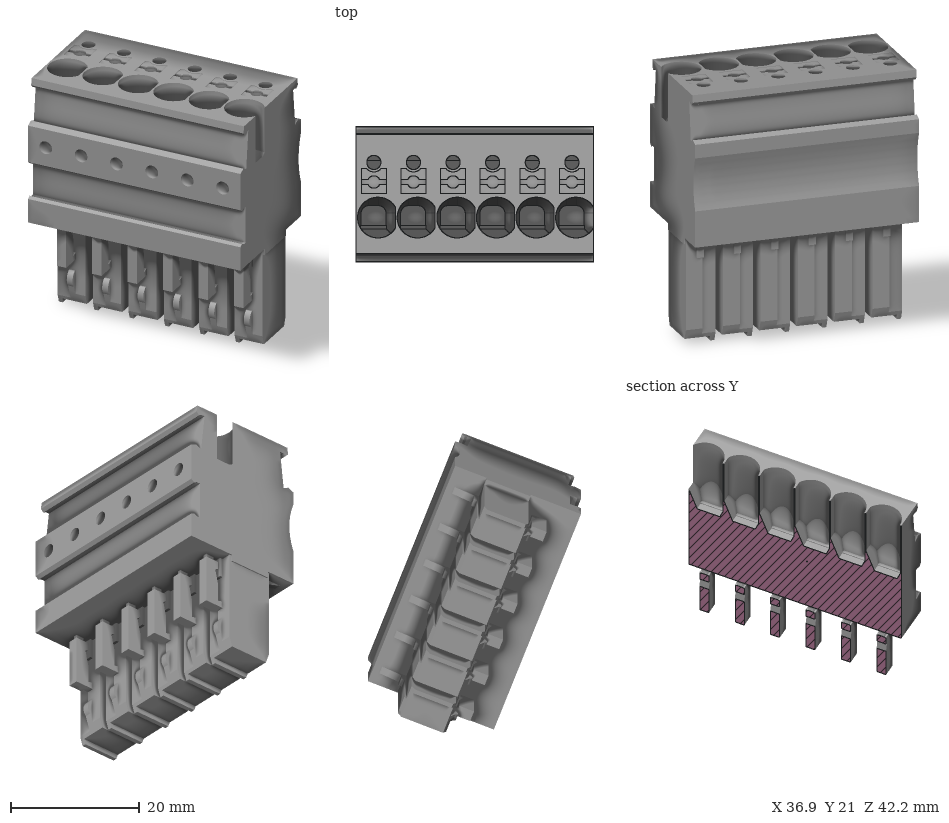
import cadquery as cq
import math


LENGTH = 36.9
DEPTH = 21.0
HEIGHT = 42.15
POLES = 6
PITCH = LENGTH / POLES

BASE_Z = 17.6
TOP_INSET = 1.25
LIP_INSET = 1.1
LIP_EDGE_Z = 41.0
LIP_HOOK_INSET = 1.6
LIP_HOOK_WIDTH = 0.42
LIP_HOOK_Z = 40.5
WAIST_TOP_INSET = 2.75
WAIST_TOP_Z = 40.78
WAIST_BASE_INSET = 2.02
WAIST_BASE_Z = 34.4
SHOULDER_Z = 34.45
SHOULDER_PEAK_INSET = 1.05
SHOULDER_PEAK_Z = 34.87
CHANNEL_DEPTH = 1.8
CHANNEL_TOP_Z = 27.95
CHANNEL_BASE_Z = 21.68
CHANNEL_EDGE_INSET = 0.6
CHANNEL_HOOK = 0.3
GRIP_TOP_Z = 32.2
GRIP_BASE_Z = 23.55
GRIP_DEPTH = 0.85

SKIRT_FRONT_Y = 8.4
SKIRT_BACK_Y = 15.77
SKIRT_BASE_Z = 16.5

TEST_HOLE_Z = 31.3
TEST_HOLE_RADIUS = 1.1
TEST_HOLE_DEPTH = 2.55

WIRE_X = 3.4
WIRE_Y = 6.87
WIRE_RADIUS = 3.15
WIRE_BORE_DEPTH = 5.9
WIRE_DEPTH = 11.8
FUNNEL_TAPER = 22.0
THROAT_LEFT_X = 0.8
THROAT_RIGHT_X = 4.7
THROAT_FRONT_Y = 5.15
THROAT_BACK_Y = 8.75
THROAT_RADIUS = 1.2
LEDGE_WIDTH = 0.45
LEDGE_HEIGHT = 0.13

BUTTON_X = 2.8
PROBE_Y = 15.45
PROBE_RADIUS = 1.1
PROBE_DEPTH = 5.05
PROBE_RAMP_Y = 15.75
PROBE_RAMP_RISE = 2.55
BUTTON_WIDTH = 3.9
BUTTON_FRONT_Y = 10.63
BUTTON_BACK_Y = 14.45
BUTTON_RECESS = 0.1
PROBE_COLLAR_RADIUS = 1.48
SLOT_Y = 12.4
SLOT_WIDTH = 0.8
SLOT_EYE_RADIUS = 0.95
SLOT_DEPTH = 0.42

BLADE_LEFT_X = 0.93
BLADE_STEP_X = 3.15
BLADE_RIGHT_X = 5.95
BLADE_FRONT_Y = 8.05
BLADE_BACK_Y = 16.1
BLADE_BASE_Z = 0.85
FOOT_WIDTH = 0.67
TIP_FRONT_Y = 8.85
TIP_BACK_Y = 15.22
TIP_BEVEL_Z = 2.45

WEB_RIGHT_X = 4.3
WEB_FRONT_Y = 7.55
WEB_BACK_Y = 16.6
WEB_BASE_Z = 14.25
WEB_SLOPE_Y = 19.8
WEB_SLOPE_Z = 16.6

NOSE_RIGHT_X = 4.17
NOSE_TOP_Y = 7.9
NOSE_TOP_Z = 6.5
NOSE_TIP_Y = 7.13
NOSE_TIP_Z = 4.95
NOSE_END_Y = 7.6
NOSE_END_Z = 3.9
NOSE_BASE_Z = 2.8

LEVER_LEFT_X = 2.65
LEVER_RIGHT_X = 4.3
LEVER_FRONT_Y = 4.7
LEVER_BACK_Y = 7.13
LEVER_BASE_Z = 8.5
LEVER_TOP_Z = 16.6
NOTCH_DEPTH = 0.6
NOTCH_TOP_Z = 15.35
NOTCH_FLOOR_Z = 14.95
NOTCH_BASE_Z = 12.45
ARM_TOP_Z = 9.7
ARM_DROP = 0.2
NECK_RIGHT_X = 3.75
NECK_FRONT_Y = 5.15
NECK_BACK_Y = 6.6
NECK_FLARE = 0.25
NECK_FLARE_HEIGHT = 0.45


def box(x0, x1, y0, y1, z0, z1):
    return cq.Workplane("XY").box(x1 - x0, y1 - y0, z1 - z0, centered=False).translate((x0, y0, z0))


def prism(points, x0, x1):
    """Extrude a closed (y, z) outline from x0 to x1."""
    return cq.Workplane("YZ").polyline(points).close().extrude(x1 - x0).translate((x0, 0, 0))


def top_cylinder(x, y, radius, depth):
    """Cylinder reaching down from the top face."""
    return cq.Workplane("XY", origin=(x, y, HEIGHT)).circle(radius).extrude(-depth)


def at_each_pole(shape):
    """Copies of a one-pole shape along the row."""
    poles = cq.Workplane("XY")
    for pole in range(POLES):
        poles = poles.add(shape.translate((pole * PITCH, 0, 0)))
    return poles.combine()


def make_housing():
    upper = [
        (0, SHOULDER_Z),
        (SHOULDER_PEAK_INSET, SHOULDER_PEAK_Z),
        (WAIST_BASE_INSET, WAIST_BASE_Z),
        (WAIST_TOP_INSET, WAIST_TOP_Z),
        (LIP_HOOK_INSET + LIP_HOOK_WIDTH, WAIST_TOP_Z),
        (LIP_HOOK_INSET, LIP_HOOK_Z),
        (LIP_INSET, LIP_EDGE_Z),
        (TOP_INSET, HEIGHT),
    ]
    channel = [
        (0, BASE_Z),
        (0, CHANNEL_BASE_Z),
        (CHANNEL_EDGE_INSET, CHANNEL_BASE_Z + CHANNEL_HOOK),
        (2 * CHANNEL_EDGE_INSET, CHANNEL_BASE_Z),
        (CHANNEL_DEPTH, CHANNEL_BASE_Z),
        (CHANNEL_DEPTH, CHANNEL_TOP_Z),
        (2 * CHANNEL_EDGE_INSET, CHANNEL_TOP_Z),
        (CHANNEL_EDGE_INSET, CHANNEL_TOP_Z - CHANNEL_HOOK),
        (0, CHANNEL_TOP_Z + CHANNEL_HOOK / 2),
    ]
    front = channel + upper
    back = [(DEPTH - inset, z) for inset, z in reversed(upper)]
    grip_middle = (DEPTH - GRIP_DEPTH, (GRIP_TOP_Z + GRIP_BASE_Z) / 2)
    return (
        cq.Workplane("YZ")
        .polyline(front + back)
        .lineTo(DEPTH, GRIP_TOP_Z)
        .threePointArc(grip_middle, (DEPTH, GRIP_BASE_Z))
        .lineTo(DEPTH, BASE_Z)
        .close()
        .extrude(LENGTH)
    )


def funnel_section(offset, z):
    """Throat outline grown by an offset: two sharp front corners, two rounded back ones."""
    left = THROAT_LEFT_X - offset
    right = THROAT_RIGHT_X + offset
    front = THROAT_FRONT_Y - offset
    back = THROAT_BACK_Y + offset
    radius = THROAT_RADIUS + offset
    arc_inset = radius * (1 - math.sqrt(0.5))
    return (
        cq.Workplane("XY", origin=(0, 0, z))
        .moveTo(left, front)
        .lineTo(right, front)
        .lineTo(right, back - radius)
        .threePointArc((right - arc_inset, back - arc_inset), (right - radius, back))
        .lineTo(left + radius, back)
        .threePointArc((left + arc_inset, back - arc_inset), (left, back - radius))
        .close()
        .wires()
        .val()
    )


def make_wire_entry():
    """Round bore above a tapered funnel, cut off at the right edge of the pole."""
    floor_z = HEIGHT - WIRE_DEPTH
    flare = WIRE_DEPTH * math.tan(math.radians(FUNNEL_TAPER))
    sections = [funnel_section(0, floor_z), funnel_section(flare, HEIGHT)]
    funnel = cq.Workplane(cq.Solid.makeLoft(sections, True))
    funnel = funnel.intersect(top_cylinder(WIRE_X, WIRE_Y, WIRE_RADIUS, WIRE_DEPTH))
    ledge_y = THROAT_FRONT_Y + LEDGE_WIDTH
    ledge = box(0, PITCH, 0, ledge_y, floor_z, floor_z + LEDGE_HEIGHT)
    entry = top_cylinder(WIRE_X, WIRE_Y, WIRE_RADIUS, WIRE_BORE_DEPTH).union(funnel).cut(ledge)
    return entry.intersect(box(0, PITCH, 0, DEPTH, floor_z, HEIGHT))


def make_probe_hole():
    """Blind hole whose floor climbs towards the front."""
    floor_z = HEIGHT - PROBE_DEPTH
    front_y = PROBE_Y - PROBE_RADIUS
    ramp = prism(
        [(PROBE_RAMP_Y, floor_z), (front_y, floor_z + PROBE_RAMP_RISE), (front_y, floor_z)],
        BUTTON_X - PROBE_RADIUS,
        BUTTON_X + PROBE_RADIUS,
    )
    return top_cylinder(BUTTON_X, PROBE_Y, PROBE_RADIUS, PROBE_DEPTH).cut(ramp)


def make_button():
    """Square release button, clear of the probe hole, with a screwdriver slot."""
    left_x = BUTTON_X - BUTTON_WIDTH / 2
    right_x = BUTTON_X + BUTTON_WIDTH / 2
    face = box(left_x, right_x, BUTTON_FRONT_Y, BUTTON_BACK_Y, HEIGHT - BUTTON_RECESS, HEIGHT)
    face = face.cut(top_cylinder(BUTTON_X, PROBE_Y, PROBE_COLLAR_RADIUS, BUTTON_RECESS))
    slot_front_y = SLOT_Y - SLOT_WIDTH / 2
    slot = box(left_x, right_x, slot_front_y, slot_front_y + SLOT_WIDTH, HEIGHT - SLOT_DEPTH, HEIGHT)
    eye = top_cylinder(BUTTON_X, SLOT_Y, SLOT_EYE_RADIUS, SLOT_DEPTH)
    return face.union(slot).union(eye)


def make_test_hole():
    hole = cq.Workplane("XZ", origin=(PITCH / 2, 0, TEST_HOLE_Z))
    return hole.circle(TEST_HOLE_RADIUS).extrude(-TEST_HOLE_DEPTH)


def make_blade():
    """Bevelled blade, set back on its left side and with a foot at its left edge."""
    outline = [
        (TIP_FRONT_Y, 0),
        (BLADE_FRONT_Y, TIP_BEVEL_Z),
        (BLADE_FRONT_Y, BASE_Z),
        (BLADE_BACK_Y, BASE_Z),
        (BLADE_BACK_Y, TIP_BEVEL_Z),
        (TIP_BACK_Y, 0),
    ]
    blade = prism(outline, BLADE_LEFT_X, BLADE_RIGHT_X)
    front_step = box(BLADE_LEFT_X, BLADE_STEP_X, BLADE_FRONT_Y, SKIRT_FRONT_Y, 0, BASE_Z)
    back_step = box(BLADE_LEFT_X, BLADE_STEP_X, SKIRT_BACK_Y, BLADE_BACK_Y, 0, BASE_Z)
    beside_foot = box(BLADE_LEFT_X + FOOT_WIDTH, BLADE_RIGHT_X, 0, DEPTH, 0, BLADE_BASE_Z)
    return blade.cut(front_step).cut(back_step).cut(beside_foot)


def make_web():
    outline = [
        (WEB_FRONT_Y, BASE_Z),
        (WEB_FRONT_Y, WEB_BASE_Z),
        (WEB_BACK_Y, WEB_BASE_Z),
        (WEB_BACK_Y, WEB_SLOPE_Z),
        (WEB_SLOPE_Y, BASE_Z),
    ]
    return prism(outline, BLADE_STEP_X, WEB_RIGHT_X)


def make_nose():
    base_y = TIP_FRONT_Y - (TIP_FRONT_Y - BLADE_FRONT_Y) * NOSE_BASE_Z / TIP_BEVEL_Z
    nose = (
        cq.Workplane("YZ", origin=(BLADE_STEP_X, 0, 0))
        .moveTo(BLADE_FRONT_Y, NOSE_TOP_Z)
        .lineTo(NOSE_TOP_Y, NOSE_TOP_Z)
        .threePointArc((NOSE_TIP_Y, NOSE_TIP_Z), (NOSE_END_Y, NOSE_END_Z))
        .lineTo(base_y, NOSE_BASE_Z)
        .lineTo(BLADE_FRONT_Y, TIP_BEVEL_Z)
        .close()
    )
    return nose.extrude(NOSE_RIGHT_X - BLADE_STEP_X)


def make_lever():
    """Latch lever hung from a flared neck and tied to the blade by an arm."""
    body = prism(
        [
            (LEVER_FRONT_Y, LEVER_BASE_Z),
            (LEVER_FRONT_Y, LEVER_TOP_Z),
            (LEVER_BACK_Y, LEVER_TOP_Z),
            (LEVER_BACK_Y, NOTCH_TOP_Z),
            (LEVER_BACK_Y - NOTCH_DEPTH, NOTCH_FLOOR_Z),
            (LEVER_BACK_Y, NOTCH_BASE_Z),
            (LEVER_BACK_Y, LEVER_BASE_Z),
        ],
        LEVER_LEFT_X,
        LEVER_RIGHT_X,
    )
    arm = prism(
        [
            (LEVER_BACK_Y, LEVER_BASE_Z),
            (LEVER_BACK_Y, ARM_TOP_Z - ARM_DROP),
            (BLADE_FRONT_Y, ARM_TOP_Z),
            (BLADE_FRONT_Y, LEVER_BASE_Z),
        ],
        BLADE_STEP_X,
        LEVER_RIGHT_X,
    )
    neck = box(BLADE_STEP_X, NECK_RIGHT_X, NECK_FRONT_Y, NECK_BACK_Y, LEVER_TOP_Z, BASE_Z)
    neck_center = ((BLADE_STEP_X + NECK_RIGHT_X) / 2, (NECK_FRONT_Y + NECK_BACK_Y) / 2)
    neck_width = NECK_RIGHT_X - BLADE_STEP_X
    neck_depth = NECK_BACK_Y - NECK_FRONT_Y
    flare = (
        cq.Workplane("XY", origin=(*neck_center, LEVER_TOP_Z))
        .rect(neck_width + 2 * NECK_FLARE, neck_depth + 2 * NECK_FLARE)
        .workplane(offset=NECK_FLARE_HEIGHT)
        .rect(neck_width, neck_depth)
        .loft(ruled=True)
    )
    return body.union(arm).union(neck).union(flare)


skirt = box(0, LENGTH, SKIRT_FRONT_Y, SKIRT_BACK_Y, SKIRT_BASE_Z, BASE_Z)
result = make_housing().union(skirt)

plug = make_blade().union(make_web()).union(make_nose()).union(make_lever())
result = result.union(at_each_pole(plug))

for pocket in (make_wire_entry(), make_probe_hole(), make_button(), make_test_hole()):
    result = result.cut(at_each_pole(pocket))